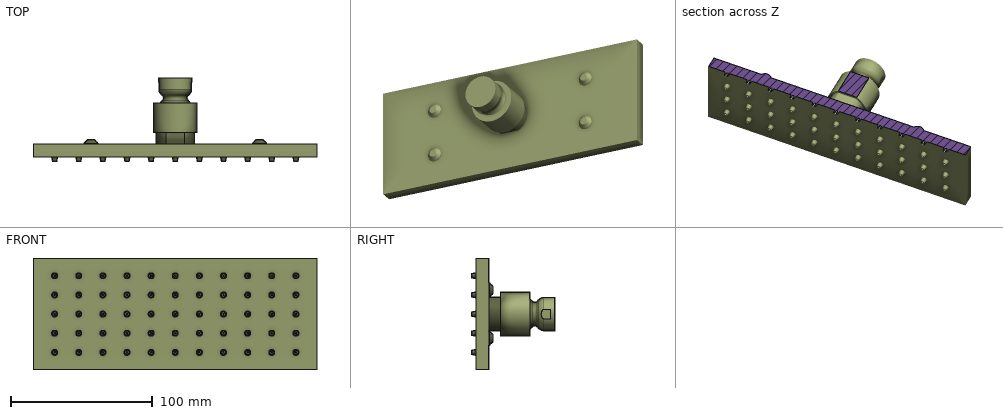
import cadquery as cq


plate_length = 200.0
plate_height = 78.5
plate_thickness = 9.2

nozzle_columns = 11
nozzle_rows = 5
nozzle_span_x = 170.0
nozzle_span_z = 54.0
nozzle_pitch_x = nozzle_span_x / (nozzle_columns - 1)
nozzle_pitch_z = nozzle_span_z / (nozzle_rows - 1)
nozzle_length = 3.0
nozzle_tip_diameter = 3.0
nozzle_base_diameter = 4.2
nozzle_bore_diameter = 1.0

screw_spacing_x = 118.8
screw_spacing_z = 34.0
screw_base_diameter = 10.0
screw_top_diameter = 5.2
screw_rim_height = 0.5
screw_height = 3.0

neck_diameter = 27.2
neck_length = 8.2
neck_across_flats = 23.8

collar_diameter = 31.0
collar_length = 20.8

skirt_length = 1.8
groove_length = 3.0
cone_length = 1.2
shoulder_length = 3.5
head_length = 8.2
head_diameter = 23.5
skirt_radius = 10.5
groove_radius = 9.0
groove_depth = 0.5
cone_small_radius = 8.8
cone_large_radius = 10.0
shoulder_bulge_radius = 11.2

head_across_flats = 22.5
head_lip = 3.0


def back_disc(diameter, start, length):
    """Round disc whose axis is Y, running from start towards +Y."""
    disc = cq.Workplane("XZ", origin=(0, start, 0)).circle(diameter / 2)
    return disc.extrude(-length)


def make_plate():
    plate = cq.Workplane("XY").box(plate_length, plate_thickness, plate_height)
    return plate.translate((0, -plate_thickness / 2, 0))


def make_nozzle():
    """Tapered nozzle on the front face with a bore through its length."""
    base_y = -plate_thickness
    tip_y = base_y - nozzle_length
    profile = [
        (nozzle_bore_diameter / 2, base_y),
        (nozzle_base_diameter / 2, base_y),
        (nozzle_tip_diameter / 2, tip_y),
        (nozzle_bore_diameter / 2, tip_y),
    ]
    return cq.Workplane("XY").polyline(profile).close().revolve(360, (0, 0), (0, 1))


def make_screw_head():
    profile = [
        (0, 0),
        (screw_base_diameter / 2, 0),
        (screw_base_diameter / 2, screw_rim_height),
        (screw_top_diameter / 2, screw_height),
        (0, screw_height),
    ]
    return cq.Workplane("XY").polyline(profile).close().revolve(360, (0, 0), (0, 1))


def make_neck():
    flats = cq.Workplane("XY").box(neck_diameter, neck_length, neck_across_flats)
    flats = flats.translate((0, neck_length / 2, 0))
    return back_disc(neck_diameter, 0, neck_length).intersect(flats)


def make_connector():
    """Waisted ball end, revolved about Y, with a flat on each X side."""
    collar_end = neck_length + collar_length
    groove_start = collar_end + skirt_length
    groove_end = groove_start + groove_length
    shoulder_start = groove_end + cone_length
    head_start = shoulder_start + shoulder_length
    head_end = head_start + head_length

    connector = (
        cq.Workplane("XY")
        .moveTo(0, collar_end)
        .lineTo(skirt_radius, collar_end)
        .lineTo(groove_radius, groove_start)
        .threePointArc(
            (groove_radius - groove_depth, groove_start + groove_length / 2),
            (cone_small_radius, groove_end),
        )
        .lineTo(cone_large_radius, shoulder_start)
        .threePointArc(
            (shoulder_bulge_radius, shoulder_start + shoulder_length / 2),
            (head_diameter / 2, head_start),
        )
        .lineTo(head_diameter / 2, head_end)
        .lineTo(0, head_end)
        .close()
        .revolve(360, (0, 0), (0, 1))
    )

    flat_end = head_end - head_lip
    flat_length = flat_end - collar_end
    for side in (-1, 1):
        cutter = cq.Workplane("XY").box(head_diameter, flat_length, head_diameter)
        cutter_x = side * (head_across_flats + head_diameter) / 2
        cutter_y = collar_end + flat_length / 2
        connector = connector.cut(cutter.translate((cutter_x, cutter_y, 0)))
    return connector


result = make_plate().union(make_neck())
result = result.union(back_disc(collar_diameter, neck_length, collar_length))
result = result.union(make_connector())

screw_head = make_screw_head()
for x in (-screw_spacing_x / 2, screw_spacing_x / 2):
    for z in (-screw_spacing_z / 2, screw_spacing_z / 2):
        result = result.union(screw_head.translate((x, 0, z)))

nozzle = make_nozzle()
for column in range(nozzle_columns):
    for row in range(nozzle_rows):
        x = column * nozzle_pitch_x - nozzle_span_x / 2
        z = row * nozzle_pitch_z - nozzle_span_z / 2
        result = result.union(nozzle.translate((x, 0, z)))